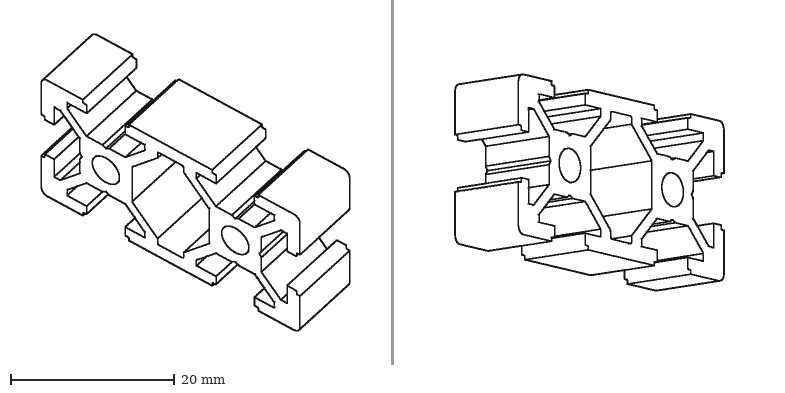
import cadquery as cq

cell = 20.0
length = 10.0
corner_radius = 1.0

core_half = 4.05
lip_thickness = 2.0
mouth_half = 2.95
slot_half = 6.0
web_offset = 1.05
step_width = 0.6
step_depth = 0.5
step_radius = 0.15
notch_half_width = 0.5
notch_depth = 0.3

bore_diameter = 4.2
cavity_wall = 2.05
cavity_half_width = 2.0
cavity_radius = 0.2

cell_half = cell / 2
lip_inner = cell_half - lip_thickness
cavity_top = cell_half - cavity_wall
slot_shoulder = slot_half + web_offset
floor_half = core_half - web_offset
step_half = mouth_half + step_width
step_floor = cell_half - step_depth
cell_centres = (-cell_half, cell_half)


def section():
    """Workplane whose local axes are X and Z, centred along the length."""
    return cq.Workplane("XZ", origin=(0, length / 2, 0))


def slot_cutter():
    """T-slot opening towards +Z, for a cell centred on the Y axis."""
    right_side = [
        (notch_half_width, core_half),
        (floor_half, core_half),
        (slot_half, slot_shoulder),
        (slot_half, lip_inner),
        (mouth_half, lip_inner),
        (mouth_half, step_floor),
        (step_half, step_floor),
        (step_half, cell_half),
    ]
    left_side = [(-x, z) for x, z in reversed(right_side)]
    notch_tip = (0, core_half - notch_depth)
    cutter = section().polyline([notch_tip] + right_side + left_side).close().extrude(length)

    tolerance = 0.005
    for x in (mouth_half, step_half):
        for side in (-1, 1):
            low = (side * x - tolerance, -length, step_floor - tolerance)
            high = (side * x + tolerance, length, step_floor + tolerance)
            cutter = cutter.edges(cq.selectors.BoxSelector(low, high)).fillet(step_radius)
    return cutter


def cavity_cutter():
    """Eight-sided opening between the two cores."""
    core_face = cell_half - core_half
    shoulder = cell_half - cavity_half_width - web_offset
    upper = [
        (core_face, floor_half),
        (cavity_half_width, shoulder),
        (cavity_half_width, cavity_top),
    ]
    right = [(x, -z) for x, z in reversed(upper)] + upper
    left = [(-x, -z) for x, z in right]
    cutter = section().polyline(right + left).close().extrude(length)
    wall_edges = cutter.faces(">Z or <Z").edges("|Y")
    return wall_edges.fillet(cavity_radius)


def body():
    """Solid bar with rounded outer corners."""
    bar = section().rect(2 * cell, cell).extrude(length)
    return bar.edges("|Y").fillet(corner_radius)


def turned(cutter, angle):
    """The cutter turned about the Y axis."""
    return cutter.rotate((0, 0, 0), (0, 1, 0), angle)


result = body().cut(cavity_cutter())
slot = slot_cutter()

for centre in cell_centres:
    end_angle = 90 if centre > 0 else -90
    for angle in (0, 180, end_angle):
        result = result.cut(turned(slot, angle).translate((centre, 0, 0)))

bores = section().pushPoints([(x, 0) for x in cell_centres]).circle(bore_diameter / 2).extrude(length)
result = result.cut(bores)